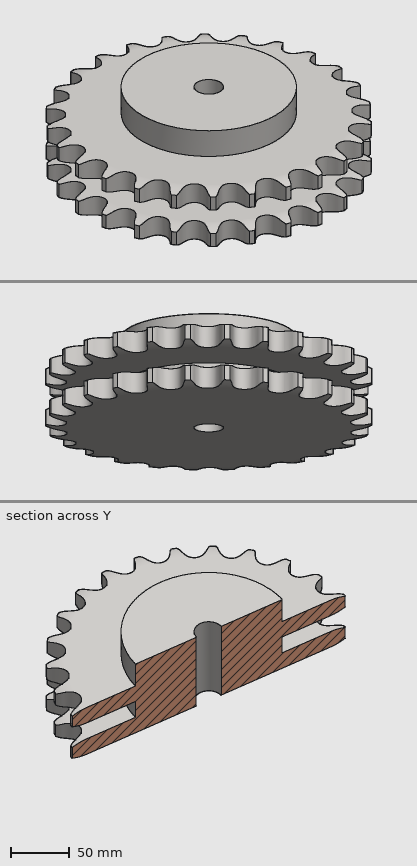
import cadquery as cq
import math

tooth_count = 26
outside_radius = 139.3
pitch = 31.8
roller_diameter = 19.0
roller_clearance = 0.04
plate_thickness = 18.5
row_spacing = 36.2
face_radius = 124.3
tip_thickness = 12.8
hub_diameter = 150.0
bore_diameter = 25.0
total_height = 80.0

tooth_step = 2 * math.pi / tooth_count
pitch_radius = pitch / 2 / math.sin(tooth_step / 2)

working_offset = 0.8 * roller_diameter
topping_offset = 1.4 * roller_diameter
seat_radius = 0.5025 * roller_diameter + roller_clearance
working_radius = seat_radius + working_offset
seat_end_angle = math.radians(35 + 60 / tooth_count)
working_sweep = math.radians(18 - 56 / tooth_count)
topping_angle = math.radians(17 - 64 / tooth_count)
straight_length = topping_offset * math.sin(topping_angle) - working_offset * math.sin(working_sweep)
topping_radius = (
    working_offset * math.cos(working_sweep)
    + topping_offset * math.cos(topping_angle)
    - working_radius
)


def turned(point, angle):
    """Rotate a point of the XY plane about the origin."""
    x, y = point
    return (x * math.cos(angle) - y * math.sin(angle), x * math.sin(angle) + y * math.cos(angle))


def mirrored(point):
    """Mirror a point of the XY plane across the X axis."""
    return (point[0], -point[1])


def stepped(point, distance, angle):
    """Move a point of the XY plane by a distance in the direction of an angle."""
    return (point[0] + distance * math.cos(angle), point[1] + distance * math.sin(angle))


def gap_side():
    """Points on the +Y side of a gap centred on the +X axis, from its seat to the tooth tip."""
    roller_center = (pitch_radius, 0)
    seat_direction = math.pi / 2 + seat_end_angle
    seat_end = stepped(roller_center, seat_radius, seat_direction)
    working_center = stepped(seat_end, working_radius, seat_direction + math.pi)
    working_direction = seat_direction - working_sweep
    working_middle = stepped(working_center, working_radius, seat_direction - working_sweep / 2)
    working_end = stepped(working_center, working_radius, working_direction)

    straight_end = stepped(working_end, straight_length, working_direction - math.pi / 2)
    topping_center = stepped(straight_end, topping_radius, working_direction)
    center_distance = math.hypot(*topping_center)
    center_angle = math.atan2(topping_center[1], topping_center[0])
    cos_offset = (outside_radius**2 + center_distance**2 - topping_radius**2) / (
        2 * outside_radius * center_distance
    )
    tip = stepped((0, 0), outside_radius, center_angle - math.acos(cos_offset))
    start_direction = working_direction - math.pi
    tip_direction = math.atan2(tip[1] - topping_center[1], tip[0] - topping_center[0])
    topping_middle = stepped(topping_center, topping_radius, (start_direction + tip_direction) / 2)
    return [seat_end, working_middle, working_end, straight_end, topping_middle, tip]


def toothed_blank():
    """Plate with the tooth outline; a tooth is centred on the +X axis."""
    side = gap_side()
    tip = side[-1]
    other_side = [mirrored(point) for point in reversed(side[:-1])]
    gap_root = (pitch_radius - seat_radius, 0)
    crest = turned((outside_radius, 0), tooth_step / 2)
    next_tip = turned(mirrored(tip), tooth_step)
    gap_points = other_side + [gap_root] + side + [crest, next_tip]

    outline = cq.Workplane("XY").moveTo(*turned(mirrored(tip), tooth_step / 2))
    for gap in range(tooth_count):
        angle = (gap + 0.5) * tooth_step
        (
            topping_in, straight_in, working_in, working_in_middle, seat_in, root,
            seat_out, working_out_middle, working_out, straight_out, topping_out, tip_out,
            tooth_crest, next_start,
        ) = [turned(point, angle) for point in gap_points]
        outline = (
            outline.threePointArc(topping_in, straight_in)
            .lineTo(*working_in)
            .threePointArc(working_in_middle, seat_in)
            .threePointArc(root, seat_out)
            .threePointArc(working_out_middle, working_out)
            .lineTo(*straight_out)
            .threePointArc(topping_out, tip_out)
            .threePointArc(tooth_crest, next_start)
        )
    return outline.close().extrude(plate_thickness)


def rounded_disc():
    """Disc whose faces curve inward, tangent to the flat faces, toward the tooth tips."""
    tip_drop = (plate_thickness - tip_thickness) / 2
    tooth_length = outside_radius - face_radius
    side_radius = (tooth_length**2 + tip_drop**2) / (2 * tip_drop)
    half_turn = math.atan2(tip_drop, tooth_length)
    middle_radius = face_radius + side_radius * math.sin(half_turn)
    middle_drop = side_radius * (1 - math.cos(half_turn))
    return (
        cq.Workplane("XZ")
        .lineTo(face_radius, 0)
        .threePointArc((middle_radius, middle_drop), (outside_radius, tip_drop))
        .lineTo(outside_radius, plate_thickness - tip_drop)
        .threePointArc((middle_radius, plate_thickness - middle_drop), (face_radius, plate_thickness))
        .lineTo(0, plate_thickness)
        .close()
        .revolve(360, (0, 0, 0), (0, 1, 0))
    )


tooth_row = toothed_blank().intersect(rounded_disc())
hub = cq.Workplane("XY").circle(hub_diameter / 2).extrude(total_height)
bore = cq.Workplane("XY").circle(bore_diameter / 2).extrude(total_height)

result = hub.union(tooth_row).union(tooth_row.translate((0, 0, row_spacing))).cut(bore)